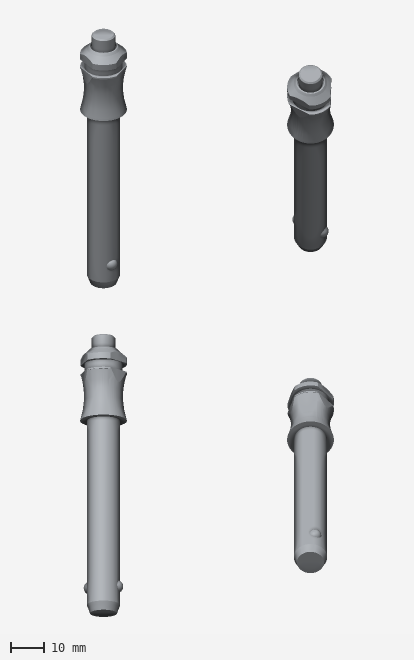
import cadquery as cq

total_height = 85.8

shank_radius = 5.0
tip_radius = 4.0
tip_height = 2.6

ball_radius = 2.0
ball_reach = 6.0
ball_height = 8.1

handle_radius = 6.99
handle_bottom = 59.7
bottom_lip_height = 0.6
handle_top = 74.6
top_lip_height = 0.4
flare_radius = 6.9
waist_radius = 5.8
neck_radius = 5.75
cap_bottom = 77.2
cap_shoulder = 79.1
cap_top = 81.6
cap_top_radius = 4.4
cap_edge_radius = 5.0
cap_edge_drop = 0.7

button_radius = 3.5
button_chamfer = 0.4
groove_radius = 3.95
groove_depth = 0.9

flat_count = 3
flat_distance = 6.1
first_flat_angle = -90.0

waist_height = (handle_bottom + bottom_lip_height + handle_top - top_lip_height) / 2


def make_pin_body():
    """Revolve the shank, handle, cap and button as one profile."""
    flare_bottom = handle_bottom + bottom_lip_height
    flare_top = handle_top - top_lip_height
    profile = (
        cq.Workplane("XZ")
        .lineTo(tip_radius, 0)
        .lineTo(shank_radius, tip_height)
        .lineTo(shank_radius, handle_bottom)
        .lineTo(handle_radius, handle_bottom)
        .lineTo(flare_radius, flare_bottom)
        .threePointArc((waist_radius, waist_height), (flare_radius, flare_top))
        .lineTo(handle_radius, flare_top)
        .lineTo(handle_radius, handle_top)
        .lineTo(neck_radius, handle_top)
        .lineTo(neck_radius, cap_bottom)
        .lineTo(handle_radius, cap_bottom)
        .lineTo(handle_radius, cap_shoulder)
        .lineTo(cap_edge_radius, cap_top - cap_edge_drop)
        .lineTo(cap_top_radius, cap_top)
        .lineTo(groove_radius, cap_top)
        .lineTo(groove_radius, cap_top - groove_depth)
        .lineTo(button_radius, cap_top - groove_depth)
        .lineTo(button_radius, total_height - button_chamfer)
        .lineTo(button_radius - button_chamfer, total_height)
        .lineTo(0, total_height)
        .close()
    )
    return profile.revolve(360, (0, 0, 0), (0, 1, 0))


def make_flat_cutter(angle):
    """Block that leaves a flat facing the given direction, from the waist up."""
    cutter_height = total_height - waist_height
    return (
        cq.Workplane("XY")
        .box(handle_radius, 2 * handle_radius, cutter_height, centered=(False, True, False))
        .translate((flat_distance, 0, waist_height))
        .rotate((0, 0, 0), (0, 0, 1), angle)
    )


result = make_pin_body()
for index in range(flat_count):
    result = result.cut(make_flat_cutter(first_flat_angle + index * 360 / flat_count))

for side in (-1, 1):
    ball_center = (side * (ball_reach - ball_radius), 0, ball_height)
    result = result.union(cq.Workplane("XY").sphere(ball_radius).translate(ball_center))